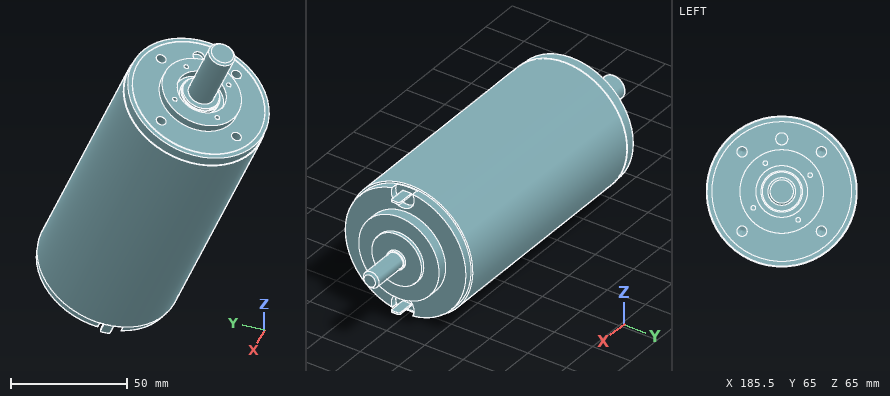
import cadquery as cq
import math

boss_front = 28.0
face_front = 32.0
flange_front = 32.5
body_front = 37.5
body_rear = 154.5
cap_rear = 158.5
rear_boss_rear = 163.5
rear_disc_rear = 165.1
rear_collar_rear = 166.2
overall_length = 185.5

shaft_radius = 6.0
boss_radius = 18.0
face_radius = 30.0
flange_radius = 32.0
body_radius = 32.5
cap_radius = 31.5
rear_boss_radius = 21.0
rear_disc_radius = 13.0
rear_collar_radius = 4.6
rear_shaft_radius = 4.0
front_shaft_chamfer = 1.0
rear_shaft_chamfer = 1.1

recess_radius = 11.1
recess_depth = 3.7
ring_base_radius = 8.9
ring_base_height = 1.9
ring_radius = 8.3
ring_height = 3.0

mount_circle_radius = 24.1
mount_start_angle = 45.0
mount_hole_radius = 2.2
mount_hole_depth = 9.3
drill_point_angle = 118.0
boss_hole_circle_radius = 14.1
boss_hole_radius = 1.0
boss_hole_depth = 3.7
boss_hole_start_angle = 60.0
vent_height = 22.6
vent_radius = 2.6
vent_depth = 1.9

terminal_y = -1.5
terminal_z = 28.4
terminal_width = 4.5
terminal_thickness = 1.0
terminal_rear = 164.2
terminal_corner_radius = 1.0
notch_radius = 6.0
notch_floor_thickness = 0.5
notch_floor = body_rear + notch_floor_thickness


def cylinder(start, end, radius, y=0.0, z=0.0):
    """Cylinder parallel to X between two stations."""
    return cq.Workplane(cq.Solid.makeCylinder(radius, end - start, cq.Vector(start, y, z), cq.Vector(1, 0, 0)))


def polar_positions(radius, start_angle):
    """Four equally spaced (y, z) positions on a circle about the axis."""
    angles = [math.radians(start_angle + 90.0 * i) for i in range(4)]
    return [(radius * math.cos(a), radius * math.sin(a)) for a in angles]


def make_housing():
    """Stack of coaxial steps from the front boss to the rear collar."""
    steps = [
        (boss_front, face_front, boss_radius),
        (face_front, flange_front, face_radius),
        (flange_front, body_front, flange_radius),
        (body_front, body_rear, body_radius),
        (body_rear, cap_rear, cap_radius),
        (cap_rear, rear_boss_rear, rear_boss_radius),
        (rear_boss_rear, rear_disc_rear, rear_disc_radius),
        (rear_disc_rear, rear_collar_rear, rear_collar_radius),
    ]
    housing = cylinder(*steps[0])
    for step in steps[1:]:
        housing = housing.union(cylinder(*step))
    return housing


def make_recess():
    """Annular recess in the front boss, leaving the stepped ring on its floor."""
    floor = boss_front + recess_depth
    recess = cylinder(boss_front, floor, recess_radius)
    recess = recess.cut(cylinder(floor - ring_base_height, floor, ring_base_radius))
    return recess.cut(cylinder(floor - ring_height, floor, ring_radius))


def make_mount_hole(y, z):
    """Blind drilled hole with a conical bottom."""
    bottom = face_front + mount_hole_depth
    tip_length = mount_hole_radius / math.tan(math.radians(drill_point_angle / 2))
    tip = cq.Solid.makeCone(mount_hole_radius, 0, tip_length, cq.Vector(bottom, y, z), cq.Vector(1, 0, 0))
    return cylinder(face_front, bottom, mount_hole_radius, y, z).union(cq.Workplane(tip))


def make_terminal(z):
    """Flat terminal blade on the notch floor, with rounded corners at its free end."""
    length = terminal_rear - body_rear
    blade = cq.Workplane().box(length, terminal_width, terminal_thickness, centered=(False, True, True))
    blade = blade.faces(">X").edges("|Z").fillet(terminal_corner_radius)
    return blade.translate((body_rear, terminal_y, z))


result = make_housing().cut(make_recess())

for y, z in polar_positions(mount_circle_radius, mount_start_angle):
    result = result.cut(make_mount_hole(y, z))

for y, z in polar_positions(boss_hole_circle_radius, boss_hole_start_angle):
    result = result.cut(cylinder(boss_front, boss_front + boss_hole_depth, boss_hole_radius, y, z))

result = result.cut(cylinder(face_front, face_front + vent_depth, vent_radius, 0.0, vent_height))

for z in (terminal_z, -terminal_z):
    result = result.cut(cylinder(notch_floor, cap_rear, notch_radius, terminal_y, z))
    result = result.union(make_terminal(z))

front_shaft = cylinder(0, body_front, shaft_radius).faces("<X").chamfer(front_shaft_chamfer)
rear_shaft = cylinder(body_rear, overall_length, rear_shaft_radius).faces(">X").chamfer(rear_shaft_chamfer)
result = result.union(front_shaft).union(rear_shaft)